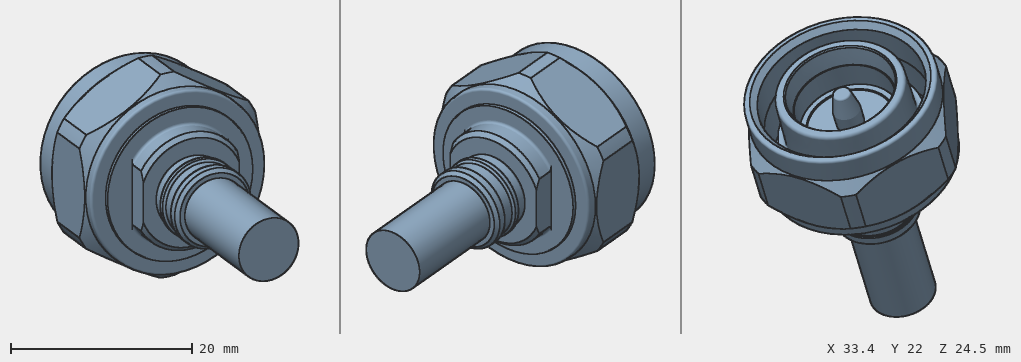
import cadquery as cq
import math

total_length = 33.4
hex_across_flats = 22.0
nut_across_corners = 24.48
nut_corner_radius = nut_across_corners / 2
nut_front = 0.1
nut_back = 12.2
collar_radius = 10.92
hex_front = 3.15
hex_back = 11.0
hex_corner_slope = nut_corner_radius - collar_radius
collar_round = 0.3

thread_radius = 9.52
thread_lead_in = 0.7
thread_end = 4.6
relief_radius = 9.85
nut_floor = 10.02

sleeve_radius = 7.38
sleeve_root_radius = 7.48
sleeve_tip_round = 0.45
sleeve_base_radius = 8.3
sleeve_base_round = 0.5
sleeve_base = 6.2
mouth_radius = 6.38
mouth_chamfer = 0.17
socket_step = 2.47
socket_step_radius = 5.8
socket_radius = 5.7
socket_floor = 5.58
insulator_radius = 5.0
insulator_gap = 0.1

floor_clearance_width = 0.17
floor_clearance_depth = 0.35

pin_tip = 0.8
pin_radius = 1.57
pin_tip_radius = 1.05
pin_tip_round = 0.25
pin_taper_end = 3.47

flange_radius = 9.1
flange_back = 12.65
shoulder_radius = 7.0
shoulder_back = 15.3
shoulder_chamfer = 0.55
shoulder_root_round = 0.3
shoulder_across_flats = 12.02
neck_radius = 4.48
neck_root_radius = 4.4
neck_root_chamfer = 0.3
ring_radius = 4.78
front_ring_start = 16.77
front_ring_end = 17.7
rear_ring_start = 19.25
rear_ring_end = 20.75
ring_front_chamfer = 0.15
front_ring_back_taper = 0.25
rear_ring_back_chamfer = 0.45
tube_radius = 3.75


def turned(profile):
    """Revolve a closed (x, radius) profile about the X axis."""
    return profile.close().revolve(360, (0, 0, 0), (1, 0, 0))


def cylinder(start, end, radius):
    """Cylinder on the X axis between two X positions."""
    return cq.Workplane("YZ", origin=(start, 0, 0)).circle(radius).extrude(end - start)


def round_arc(start, end, center, radius):
    """Middle and end points of a quarter-circle arc for threePointArc."""
    away_x = (start[0] + end[0]) / 2 - center[0]
    away_r = (start[1] + end[1]) / 2 - center[1]
    reach = radius / math.hypot(away_x, away_r)
    return (center[0] + away_x * reach, center[1] + away_r * reach), end


def make_nut():
    """Hexagonal nut with a rounded collar at each end, solid behind its floor."""
    front_start = (nut_front, collar_radius - collar_round)
    front_end = (nut_front + collar_round, collar_radius)
    front_center = (front_end[0], front_start[1])
    back_start = (nut_back - collar_round, collar_radius)
    back_end = (nut_back, collar_radius - collar_round)
    back_center = (back_start[0], back_end[1])
    outside = turned(
        cq.Workplane("XY")
        .moveTo(nut_front, 0)
        .lineTo(*front_start)
        .threePointArc(*round_arc(front_start, front_end, front_center, collar_round))
        .lineTo(hex_front, collar_radius)
        .lineTo(hex_front + hex_corner_slope, nut_corner_radius)
        .lineTo(hex_back - hex_corner_slope, nut_corner_radius)
        .lineTo(hex_back, collar_radius)
        .lineTo(*back_start)
        .threePointArc(*round_arc(back_start, back_end, back_center, collar_round))
        .lineTo(nut_back, 0)
    )
    hexagon = (
        cq.Workplane("YZ")
        .transformed(rotate=(0, 0, 90))
        .polygon(6, hex_across_flats / math.cos(math.pi / 6))
        .extrude(nut_back)
    )
    bore = turned(
        cq.Workplane("XY")
        .moveTo(nut_front, 0)
        .lineTo(nut_front, thread_radius + thread_lead_in)
        .lineTo(nut_front + thread_lead_in, thread_radius)
        .lineTo(thread_end, thread_radius)
        .lineTo(thread_end, relief_radius)
        .lineTo(nut_floor, relief_radius)
        .lineTo(nut_floor, 0)
    )
    return outside.intersect(hexagon).cut(bore)


def make_sleeve():
    """Slightly tapered contact sleeve with a rounded tip and a rounded root on its base."""
    tip_start = (0, sleeve_radius - sleeve_tip_round)
    tip_end = (sleeve_tip_round, sleeve_radius)
    tip_center = (tip_end[0], tip_start[1])
    root_start = (sleeve_base - sleeve_base_round, sleeve_root_radius)
    root_end = (sleeve_base, sleeve_root_radius + sleeve_base_round)
    root_center = (root_start[0], root_end[1])
    return turned(
        cq.Workplane("XY")
        .lineTo(*tip_start)
        .threePointArc(*round_arc(tip_start, tip_end, tip_center, sleeve_tip_round))
        .lineTo(*root_start)
        .threePointArc(*round_arc(root_start, root_end, root_center, sleeve_base_round))
        .lineTo(sleeve_base, sleeve_base_radius)
        .lineTo(nut_back, sleeve_base_radius)
        .lineTo(nut_back, 0)
    )


def make_socket():
    """Tapered and stepped cavity inside the sleeve."""
    return turned(
        cq.Workplane("XY")
        .lineTo(0, mouth_radius)
        .lineTo(mouth_chamfer, mouth_radius - mouth_chamfer)
        .lineTo(socket_step, socket_step_radius)
        .lineTo(socket_step, socket_radius)
        .lineTo(socket_floor, socket_radius)
        .lineTo(socket_floor, 0)
    )


def make_pin():
    """Tapered center pin with a rounded tip, rooted in the socket floor."""
    tip_start = (pin_tip, pin_tip_radius - pin_tip_round)
    tip_end = (pin_tip + pin_tip_round, pin_tip_radius)
    tip_center = (tip_end[0], tip_start[1])
    return turned(
        cq.Workplane("XY")
        .moveTo(pin_tip, 0)
        .lineTo(*tip_start)
        .threePointArc(*round_arc(tip_start, tip_end, tip_center, pin_tip_round))
        .lineTo(pin_taper_end, pin_radius)
        .lineTo(nut_back, pin_radius)
        .lineTo(nut_back, 0)
    )


def make_shoulder():
    """Round shoulder with a rounded root, a rear chamfer and two flats facing Y."""
    root_start = (flange_back, shoulder_radius + shoulder_root_round)
    root_end = (flange_back + shoulder_root_round, shoulder_radius)
    root_center = (root_end[0], root_start[1])
    shoulder = turned(
        cq.Workplane("XY")
        .moveTo(flange_back, 0)
        .lineTo(*root_start)
        .threePointArc(*round_arc(root_start, root_end, root_center, shoulder_root_round))
        .lineTo(shoulder_back - shoulder_chamfer, shoulder_radius)
        .lineTo(shoulder_back, shoulder_radius - shoulder_chamfer)
        .lineTo(shoulder_back, 0)
    )
    flats = cq.Workplane("XY").box(2 * total_length, shoulder_across_flats, 2 * total_length)
    return shoulder.intersect(flats)


def make_neck():
    """Neck with two raised rings, followed by the cable tube."""
    return turned(
        cq.Workplane("XY")
        .moveTo(shoulder_back, 0)
        .lineTo(shoulder_back, neck_root_radius)
        .lineTo(shoulder_back + neck_root_chamfer, neck_radius)
        .lineTo(front_ring_start, neck_radius)
        .lineTo(front_ring_start, ring_radius - ring_front_chamfer)
        .lineTo(front_ring_start + ring_front_chamfer, ring_radius)
        .lineTo(front_ring_end - front_ring_back_taper, ring_radius)
        .lineTo(front_ring_end, neck_radius)
        .lineTo(rear_ring_start, neck_radius)
        .lineTo(rear_ring_start, ring_radius - ring_front_chamfer)
        .lineTo(rear_ring_start + ring_front_chamfer, ring_radius)
        .lineTo(rear_ring_end - rear_ring_back_chamfer, ring_radius)
        .lineTo(rear_ring_end, ring_radius - rear_ring_back_chamfer)
        .lineTo(rear_ring_end, tube_radius)
        .lineTo(total_length, tube_radius)
        .lineTo(total_length, 0)
    )


def make_ring_gap(start, end, inner_radius, width):
    """Ring-shaped space between two X positions, outside the given radius."""
    return cylinder(start, end, inner_radius + width).cut(cylinder(start, end, inner_radius))


floor_clearance = make_ring_gap(
    nut_floor,
    nut_floor + floor_clearance_depth,
    sleeve_base_radius,
    floor_clearance_width,
)
insulator_groove = make_ring_gap(
    socket_floor,
    socket_floor + insulator_gap,
    insulator_radius - insulator_gap,
    insulator_gap,
)

result = (
    make_nut()
    .union(make_sleeve())
    .cut(floor_clearance)
    .cut(make_socket())
    .cut(insulator_groove)
    .union(make_pin())
    .union(cylinder(nut_back, flange_back, flange_radius))
    .union(make_shoulder())
    .union(make_neck())
)